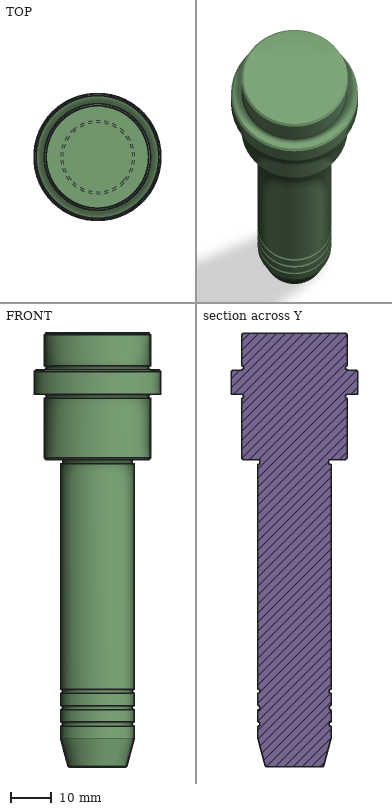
import cadquery as cq
import math

total_length = 106.0
flange_top = 97.0
flange_thickness = 6.0
shank_length = 75.0

head_radius = 13.0
flange_radius = 15.5
shank_radius = 9.0

head_chamfer = 0.5
flange_chamfer = 0.5

relief_width = 1.0
relief_depth = 0.5

tip_height = 7.0
tip_angle = 15.0
tip_fillet = 0.5

groove_radius = 0.5
groove_count = 3
groove_pitch = 4.0
lowest_groove_height = 10.5

flange_bottom = flange_top - flange_thickness


def cylinder(radius, bottom, top):
    """Cylinder on the Z axis between two heights."""
    return cq.Workplane("XY").workplane(offset=bottom).circle(radius).extrude(top - bottom)


def make_head():
    """Large cylinder at the top of the part, chamfered at both ends."""
    return cylinder(head_radius, shank_length, total_length).edges("%CIRCLE").chamfer(head_chamfer)


def make_flange():
    """Collar around the head, with its upper rim chamfered."""
    collar = cylinder(flange_radius, flange_bottom, flange_top)
    return collar.faces(">Z").edges().chamfer(flange_chamfer)


def make_shank():
    """Straight shank that narrows to a rounded conical tip."""
    tip_radius = shank_radius - tip_height * math.tan(math.radians(tip_angle))
    profile = (
        cq.Workplane("XZ")
        .polyline([
            (0, 0),
            (tip_radius, 0),
            (shank_radius, tip_height),
            (shank_radius, shank_length),
            (0, shank_length),
        ])
        .close()
    )
    shank = profile.revolve(360, (0, 0, 0), (0, 1, 0))
    return shank.faces("<Z").edges().fillet(tip_fillet)


def make_neck_relief():
    """Ring that cuts a square-sided relief into the shank just below the head."""
    bottom = shank_length - relief_width
    return cylinder(shank_radius, bottom, shank_length).cut(
        cylinder(shank_radius - relief_depth, bottom, shank_length)
    )


def make_round_groove(outer_radius, center_height):
    """Ring of circular section that cuts a half-round groove into a cylinder."""
    section = cq.Workplane("XZ").center(outer_radius, center_height).circle(groove_radius)
    return section.revolve(360, (-outer_radius, 0, 0), (-outer_radius, 1, 0))


head = make_head()
head = head.cut(make_round_groove(head_radius, flange_top + groove_radius))
head = head.cut(make_round_groove(head_radius, flange_bottom - groove_radius))

shank = make_shank()
shank = shank.cut(make_neck_relief())
for index in range(groove_count):
    groove_height = lowest_groove_height + index * groove_pitch
    shank = shank.cut(make_round_groove(shank_radius, groove_height))

result = head.union(make_flange()).union(shank)